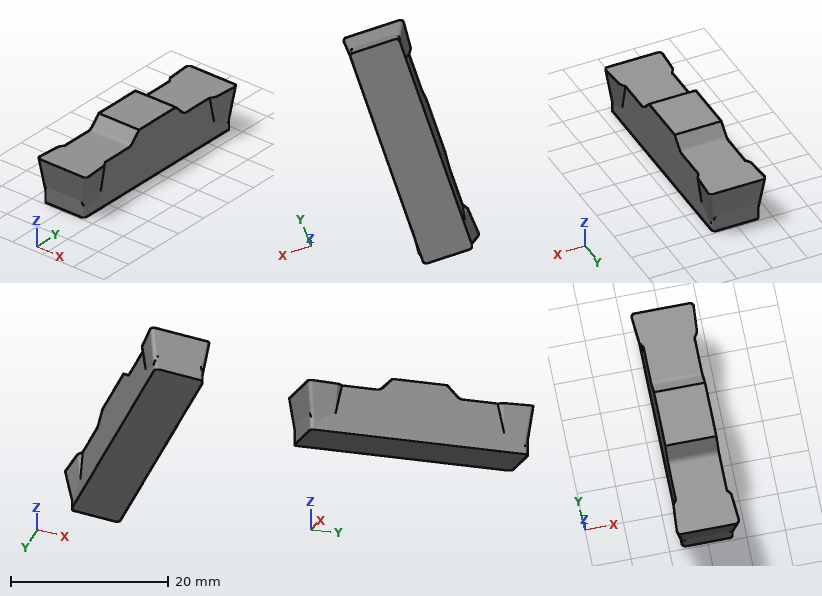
import cadquery as cq
import math

overall_width = 8.05
overall_length = 30.35
overall_height = 8.08

shank_width = 6.62
seat_height = 6.4
corner_radius = 0.5

ridge_flat_length = 7.36
ridge_slope_angle = 45.0
ridge_foot_radius = 1.0

relief_angle = 7.0
relief_height = 4.05
side_taper_angle = 4.2
shoulder_distance = 4.0
shoulder_angle = 33.0
shoulder_radius = 0.2
head_root_depth = 1.0

end_relief = relief_height * math.tan(math.radians(relief_angle))
shank_length = overall_length - 2 * end_relief


def make_shank():
    """Straight bar with the ridge on top and rounded vertical end corners."""
    half_length = shank_length / 2
    ridge_rise = overall_height - seat_height
    ridge_top_y = ridge_flat_length / 2
    ridge_foot_y = ridge_top_y + ridge_rise / math.tan(math.radians(ridge_slope_angle))
    profile = [
        (-half_length, 0),
        (half_length, 0),
        (half_length, seat_height),
        (ridge_foot_y, seat_height),
        (ridge_top_y, overall_height),
        (-ridge_top_y, overall_height),
        (-ridge_foot_y, seat_height),
        (-half_length, seat_height),
    ]
    bar = cq.Workplane("YZ").polyline(profile).close().extrude(shank_width / 2, both=True)
    bar = bar.edges("|Z").fillet(corner_radius)

    for side in (-1, 1):
        foot_edge = cq.selectors.NearestToPointSelector((0, side * ridge_foot_y, seat_height))
        bar = bar.edges(foot_edge).fillet(ridge_foot_radius)
    return bar


def make_head():
    """Cutting head at the +Y end, leaning inward from its top outline."""
    taper = math.radians(side_taper_angle)
    end_y = overall_length / 2

    corner_overhang = corner_radius * (1 / math.cos(taper) + math.tan(taper) - 1)
    end_x = overall_width / 2 + corner_overhang

    shoulder_y = end_y - shoulder_distance
    shoulder_x = end_x - shoulder_distance * math.tan(taper)
    root_x = shank_width / 2 - head_root_depth
    root_y = shoulder_y - (shoulder_x - root_x) / math.tan(math.radians(shoulder_angle))

    right_side = [(root_x, root_y), (shoulder_x, shoulder_y), (end_x, end_y)]
    left_side = [(-x, y) for x, y in reversed(right_side)]
    head = (
        cq.Workplane("XY", origin=(0, 0, seat_height))
        .polyline(right_side + left_side)
        .close()
        .extrude(-seat_height, taper=relief_angle)
    )

    inset = seat_height / 2 * math.tan(math.radians(relief_angle))
    for side in (-1, 1):
        for x, y, radius in (
            (end_x, end_y, corner_radius),
            (shoulder_x, shoulder_y, shoulder_radius),
        ):
            middle = (side * (x - inset), y, seat_height / 2)
            head = head.edges(cq.selectors.NearestToPointSelector(middle)).fillet(radius)
    return head


head = make_head()
result = make_shank().union(head).union(head.mirror("XZ"))